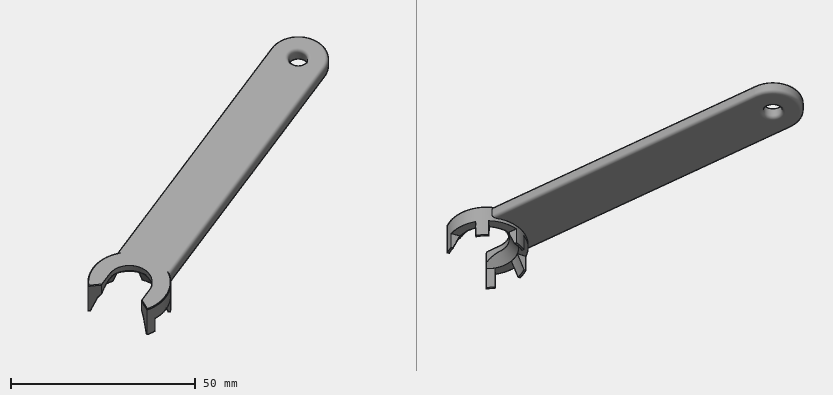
import cadquery as cq
import math

total_length = 109.9
handle_width = 16.5
handle_thickness = 4.0
handle_edge_radius = 1.0
hole_radius = 2.5
hole_edge_radius = 1.0

head_diameter = 22.5
head_radius = head_diameter / 2
head_thickness = 5.0
head_edge_chamfer = 0.2
total_height = 10.0
bore_radius = 6.2
mouth_angle = 36

lip_thickness = 2.0
flare_radius = 8.7
recess_bottom_radius = 10.7

prong_width = 3.5
prong_drop = total_height - head_thickness
prong_angles = [-32, 29, 90, 153, 212]

tip_y = -head_radius * math.sin(math.radians(mouth_angle))
handle_radius = handle_width / 2
hole_y = tip_y + total_length - handle_radius


def make_handle():
    """Round-ended bar with rounded long edges and a rounded hanging hole."""
    bar = (
        cq.Workplane("XY")
        .moveTo(-handle_radius, 0)
        .lineTo(-handle_radius, hole_y)
        .threePointArc((0, hole_y + handle_radius), (handle_radius, hole_y))
        .lineTo(handle_radius, 0)
        .close()
        .extrude(-handle_thickness)
    )
    bar = bar.faces("|Z").edges("not <Y").fillet(handle_edge_radius)
    hole = cq.Workplane("XY").center(0, hole_y).circle(hole_radius).extrude(-handle_thickness)
    hole_zone = cq.selectors.BoxSelector(
        (-handle_radius / 2, hole_y - handle_radius / 2, -total_height),
        (handle_radius / 2, hole_y + handle_radius / 2, total_height),
    )
    return bar.cut(hole).edges(hole_zone).edges("%CIRCLE").fillet(hole_edge_radius)


def make_head():
    """Solid disc with the prongs below it."""
    disc = cq.Workplane("XY").circle(head_radius).extrude(-head_thickness)
    disc = disc.faces(">Z").edges().chamfer(head_edge_chamfer)
    prong_ring = cq.Workplane("XY").circle(head_radius).extrude(-total_height)
    for angle in prong_angles:
        prong = (
            cq.Workplane("XY")
            .box(2 * head_radius, prong_width, prong_drop, centered=(False, True, False))
            .translate((0, 0, -total_height))
            .rotate((0, 0, 0), (0, 0, 1), angle)
        )
        disc = disc.union(prong.intersect(prong_ring))
    return disc


def make_opening():
    """Bore, its straight mouth, the radial arm ends and the conical recess."""
    bore = cq.Workplane("XY").circle(bore_radius).extrude(-total_height)
    slot = (
        cq.Workplane("XY")
        .center(0, -head_radius)
        .rect(2 * bore_radius, 2 * head_radius)
        .extrude(-total_height)
    )
    wedge_x = 2 * head_radius
    wedge_y = -wedge_x * math.tan(math.radians(mouth_angle))
    wedge = (
        cq.Workplane("XY")
        .polyline([(0, 0), (wedge_x, wedge_y), (0, -2 * wedge_x), (-wedge_x, wedge_y)])
        .close()
        .extrude(-total_height)
    )
    recess = (
        cq.Workplane("XZ")
        .polyline([
            (0, -lip_thickness),
            (bore_radius, -lip_thickness),
            (flare_radius, -head_thickness),
            (recess_bottom_radius, -total_height),
            (0, -total_height),
        ])
        .close()
        .revolve(360, (0, 0), (0, 1))
    )
    return bore.union(slot).union(wedge).union(recess)


body = make_handle().union(make_head()).cut(make_opening())

end_edge_y = (tip_y - bore_radius * math.tan(math.radians(mouth_angle))) / 2
end_edge_zone = cq.selectors.BoxSelector(
    (-head_radius, end_edge_y - head_edge_chamfer, -head_edge_chamfer / 4),
    (head_radius, end_edge_y + head_edge_chamfer, head_edge_chamfer / 4),
)
result = body.edges(end_edge_zone).chamfer(head_edge_chamfer)